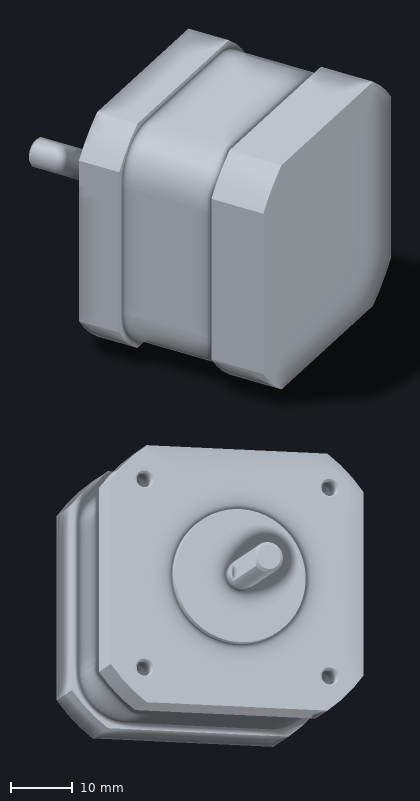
import cadquery as cq
import math

TOTAL_LENGTH = 54.3
PLATE_WIDTH = 42.3

SHAFT_LENGTH = 18.05
PILOT_THICKNESS = 2.0
FRONT_PLATE_THICKNESS = 7.5
CORE_LENGTH = 17.1
PILOT_DIAMETER = 22.0
PILOT_RIM_FILLET = 0.1
PLATE_CORNER_DIAMETER = 52.0
CORE_WIDTH = 40.2
CORE_CORNER_RADIUS = 8.1

HOLE_SPACING = 31.0
HOLE_DIAMETER = 2.5
HOLE_MOUTH_DIAMETER = 3.0
HOLE_DEPTH = 4.5
DRILL_POINT_ANGLE = 118.0

SHAFT_DIAMETER = 5.0
SHAFT_CHAMFER = 0.5
FLAT_LENGTH = 15.0
FLAT_DEPTH = 0.5

SHAFT_TIP_X = -TOTAL_LENGTH / 2
PILOT_X = SHAFT_TIP_X + SHAFT_LENGTH
FRONT_PLATE_X = PILOT_X + PILOT_THICKNESS
CORE_X = FRONT_PLATE_X + FRONT_PLATE_THICKNESS
REAR_PLATE_X = CORE_X + CORE_LENGTH
REAR_PLATE_THICKNESS = TOTAL_LENGTH / 2 - REAR_PLATE_X


def plane_at(x):
    """Workplane across the motor axis at x, with its normal along +X."""
    return cq.Workplane("YZ", origin=(x, 0, 0))


def make_plate(x, thickness):
    """Square end plate whose corners are rounded by a circle about the motor axis."""
    square = plane_at(x).rect(PLATE_WIDTH, PLATE_WIDTH).extrude(thickness)
    corner_round = plane_at(x).circle(PLATE_CORNER_DIAMETER / 2).extrude(thickness)
    return square.intersect(corner_round)


def make_core():
    """Square core between the end plates, with rounded corners."""
    core = plane_at(CORE_X).rect(CORE_WIDTH, CORE_WIDTH).extrude(CORE_LENGTH)
    return core.edges("|X").fillet(CORE_CORNER_RADIUS)


def make_screw_hole():
    """Cutter for a countersunk blind hole with a conical bottom, opening at the origin."""
    hole_radius = HOLE_DIAMETER / 2
    mouth_radius = HOLE_MOUTH_DIAMETER / 2
    countersink_depth = mouth_radius - hole_radius
    point_depth = hole_radius / math.tan(math.radians(DRILL_POINT_ANGLE / 2))
    return (
        cq.Workplane("XY")
        .moveTo(0, 0)
        .lineTo(0, mouth_radius)
        .lineTo(countersink_depth, hole_radius)
        .lineTo(HOLE_DEPTH, hole_radius)
        .lineTo(HOLE_DEPTH + point_depth, 0)
        .close()
        .revolve(360, (0, 0, 0), (1, 0, 0))
    )


def make_housing():
    """Pilot disc, front plate, core and rear plate in one solid."""
    pilot = plane_at(PILOT_X).circle(PILOT_DIAMETER / 2).extrude(PILOT_THICKNESS)
    pilot = pilot.faces("<X").edges().fillet(PILOT_RIM_FILLET)
    front_plate = make_plate(FRONT_PLATE_X, FRONT_PLATE_THICKNESS)
    rear_plate = make_plate(REAR_PLATE_X, REAR_PLATE_THICKNESS)
    housing = front_plate.union(pilot).union(make_core()).union(rear_plate)
    half_spacing = HOLE_SPACING / 2
    for y in (-half_spacing, half_spacing):
        for z in (-half_spacing, half_spacing):
            housing = housing.cut(make_screw_hole().translate((FRONT_PLATE_X, y, z)))
    return housing


def make_shaft():
    """Round shaft resting on the pilot face, with a chamfered tip and a flat on +Y."""
    shaft = plane_at(SHAFT_TIP_X).circle(SHAFT_DIAMETER / 2).extrude(SHAFT_LENGTH)
    shaft = shaft.faces("<X").chamfer(SHAFT_CHAMFER)
    flat_y = SHAFT_DIAMETER / 2 - FLAT_DEPTH
    flat_cut = cq.Workplane("XY").box(
        FLAT_LENGTH, SHAFT_DIAMETER, SHAFT_DIAMETER, centered=(False, False, True)
    )
    return shaft.cut(flat_cut.translate((SHAFT_TIP_X, flat_y, 0)))


housing = make_housing()
shaft = make_shaft()

result = cq.Compound.makeCompound([housing.val(), shaft.val()])